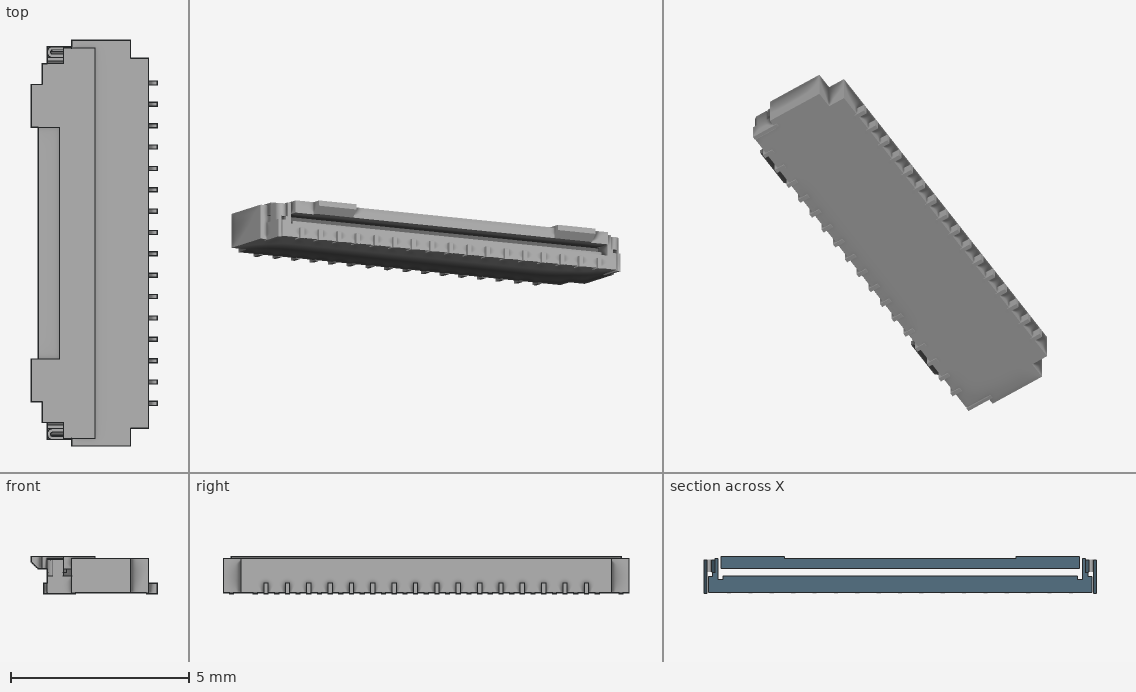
import cadquery as cq


overall_depth = 3.55
overall_length = 11.4
overall_height = 1.05

housing_bottom = 0.03
housing_top = 1.0
housing_front = 0.45
housing_rear = 3.3
body_length = 10.4
ear_front = 1.14
ear_rear = 2.8
front_length = 10.78
ledge_height = 0.5
shoulder_height = 0.6
shoulder_length = 10.56
wall_outer_length = 10.42

entry_length = 10.22
entry_floor = 0.41
entry_rear = 1.0
tongue_length = 9.96
tongue_front = 0.57
tongue_rear_front = 0.94
tongue_top = 0.51

flap_bottom = 0.7
flap_rear = 1.8
flap_length = 10.96
flap_wing_front = 0.91
flap_step_front = 0.31
flap_step_length = 10.08
lip_length = 8.92
lip_depth = 0.2
recess_length = 6.5
recess_rear = 0.8
recess_floor = housing_top

contact_pitch = 0.6
front_contacts = 17
rear_contacts = 16
contact_width = 0.12
contact_height = 0.3
contact_foot_depth = 0.31
front_contact_tip = 0.35

metal = 0.1
holddown_outer = 5.52
holddown_width = 0.31
holddown_top = 0.96
holddown_rear = 1.25
plate_height = ledge_height
tab_rear = flap_wing_front
hook_rear = entry_rear


def box(x0, x1, y0, y1, z0, z1):
    """Box between two opposite corners."""
    return cq.Workplane("XY").box(x1 - x0, y1 - y0, z1 - z0, centered=False).translate((x0, y0, z0))


def centred_box(x0, x1, length, z0, z1):
    """Box of the given Y length, centred on the middle of the connector."""
    return box(x0, x1, -length / 2, length / 2, z0, z1)


def make_flap():
    """Cover flap with stepped ends, two bevelled finger lips and a recess between them."""
    flap = (
        centred_box(flap_wing_front, flap_rear, flap_length, flap_bottom, overall_height)
        .union(centred_box(flap_step_front, flap_rear, flap_step_length, flap_bottom, overall_height))
    )
    lip = (
        cq.Workplane("XZ")
        .moveTo(0, overall_height)
        .lineTo(0, flap_bottom + lip_depth)
        .lineTo(lip_depth, flap_bottom)
        .lineTo(flap_rear, flap_bottom)
        .lineTo(flap_rear, overall_height)
        .close()
        .extrude(lip_length / 2, both=True)
    )
    gap_between_lips = centred_box(0, lip_depth, recess_length, flap_bottom, overall_height)
    recess = centred_box(0, recess_rear, recess_length, recess_floor, overall_height)
    return flap.union(lip).cut(gap_between_lips).cut(recess)


def make_contact_row(count, x0):
    """Row of identical contact feet, evenly spaced about the middle."""
    feet = []
    for index in range(count):
        y = (index - (count - 1) / 2) * contact_pitch
        foot = centred_box(x0, x0 + contact_foot_depth, contact_width, 0, contact_height)
        feet.append(foot.translate((0, y, 0)))
    return feet


def make_housing():
    """Housing in one piece with the flap and the contact feet."""
    housing = (
        centred_box(housing_front, housing_rear, body_length, housing_bottom, flap_bottom)
        .union(centred_box(ear_front, housing_rear, body_length, housing_bottom, housing_top))
        .union(centred_box(ear_front, ear_rear, overall_length, housing_bottom, housing_top))
        .union(centred_box(housing_front, ear_front, front_length, housing_bottom, ledge_height))
        .union(centred_box(housing_front, ear_front, shoulder_length, housing_bottom, shoulder_height))
        .union(centred_box(tab_rear, ear_front, shoulder_length, housing_bottom, flap_bottom))
        .union(centred_box(housing_front, flap_wing_front, wall_outer_length, housing_bottom, housing_top))
    )
    entry = centred_box(housing_front, entry_rear, entry_length, entry_floor, housing_top)
    tongue = (
        centred_box(tongue_front, entry_rear, tongue_length, entry_floor, tongue_top)
        .union(centred_box(tongue_rear_front, entry_rear, entry_length, entry_floor, tongue_top))
    )
    housing = housing.cut(entry).union(tongue).union(make_flap())
    feet = make_contact_row(front_contacts, front_contact_tip)
    feet += make_contact_row(rear_contacts, overall_depth - contact_foot_depth)
    for foot in feet:
        housing = housing.union(foot)
    return housing


def make_holddown():
    """Hold-down at the +Y end: upright plate whose upper front edge is bent into a U."""
    outer_radius = holddown_width / 2
    inner_radius = outer_radius - metal
    y_out = holddown_outer
    y_in = holddown_outer - holddown_width
    bend_x = housing_front + outer_radius
    bend_y = holddown_outer - outer_radius
    bend = (
        cq.Workplane("XY", origin=(0, 0, plate_height))
        .moveTo(tab_rear, y_out)
        .lineTo(bend_x, y_out)
        .threePointArc((housing_front, bend_y), (bend_x, y_in))
        .lineTo(tab_rear, y_in)
        .lineTo(tab_rear, y_in + metal)
        .lineTo(bend_x, y_in + metal)
        .threePointArc((bend_x - inner_radius, bend_y), (bend_x, y_out - metal))
        .lineTo(tab_rear, y_out - metal)
        .close()
        .extrude(holddown_top - plate_height)
    )
    under_inner_leg = box(housing_front, tab_rear, y_in, y_out - metal, plate_height, shoulder_height)
    plate = box(housing_front, holddown_rear, y_out - metal, y_out, 0, plate_height)
    hook = box(bend_x, hook_rear, y_in, y_in + metal, shoulder_height, flap_bottom)
    return bend.cut(under_inner_leg).union(plate).union(hook)


holddown = make_holddown()
holddowns = [holddown, holddown.mirror("XZ")]

housing = make_housing()
for piece in holddowns:
    housing = housing.cut(piece)

solids = [body.solids().val() for body in (housing, *holddowns)]
result = cq.Compound.makeCompound(solids)